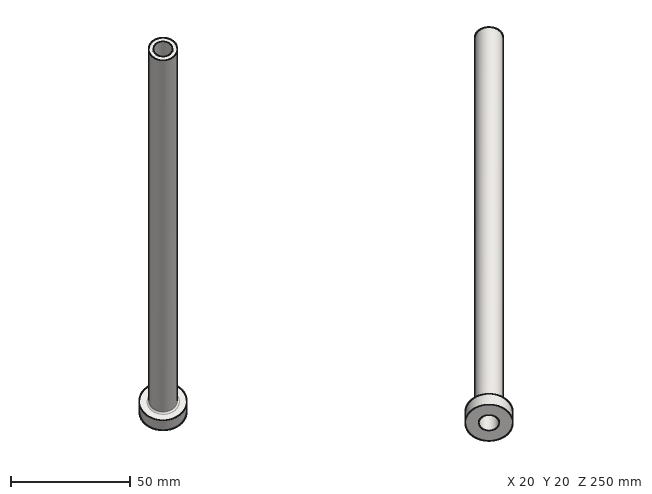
import cadquery as cq

total_length = 250.0
head_diameter = 20.0
head_height = 7.0
tube_diameter = 12.0
bore_diameter = 8.0
clearance_diameter = 8.5
guide_length = 50.0
root_fillet = 0.8

head = cq.Workplane("XY").circle(head_diameter / 2).extrude(head_height)
tube = cq.Workplane("XY").circle(tube_diameter / 2).extrude(total_length)
body = head.union(tube)

head_top = body.faces(">Z[-2]")
body = head_top.edges(cq.selectors.RadiusNthSelector(0)).fillet(root_fillet)

bore = cq.Workplane("XY").circle(bore_diameter / 2).extrude(total_length)
clearance = cq.Workplane("XY").circle(clearance_diameter / 2).extrude(total_length - guide_length)
result = body.cut(bore).cut(clearance)